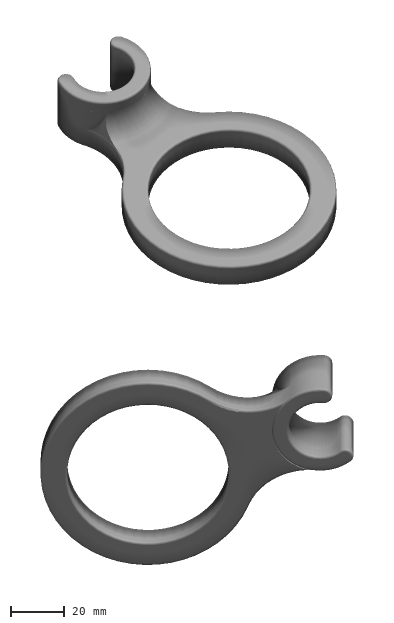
import cadquery as cq
import math

LENGTH = 115.3
RING_RADIUS = 39.9
RING_HOLE_RADIUS = 60.0 / 2
PLATE_HEIGHT = 10.0

CLIP_HEIGHT = 25.0
CLIP_RADIUS = 17.9
CLIP_BORE_RADIUS = 11.6
CLIP_REACH = 8.6

NECK_RADIUS = 24.2
GUSSET_RADIUS = 10.0
GUSSET_SIDE_SETBACK = 4.0
EDGE_RADIUS = 0.9

RING_X = LENGTH - CLIP_REACH - RING_RADIUS
TIP_RADIUS = (CLIP_RADIUS - CLIP_BORE_RADIUS) / 2
ARM_RADIUS = (CLIP_RADIUS + CLIP_BORE_RADIUS) / 2
TIP_ANGLE = math.acos((TIP_RADIUS - CLIP_REACH) / ARM_RADIUS)
GUSSET_TOP = PLATE_HEIGHT + GUSSET_RADIUS

CLIP_TO_NECK = CLIP_RADIUS + NECK_RADIUS
RING_TO_NECK = RING_RADIUS + NECK_RADIUS
NECK_X = (RING_X**2 + CLIP_TO_NECK**2 - RING_TO_NECK**2) / (2 * RING_X)
NECK_Y = math.sqrt(CLIP_TO_NECK**2 - NECK_X**2)
NECK_ANGLE = math.atan2(NECK_Y, NECK_X)


def point_on_circle(radius, angle):
    return radius * math.cos(angle), radius * math.sin(angle)


def mirrored(point):
    return point[0], -point[1]


def make_c_shape():
    """Complete C shape, before it is shared between the two bodies."""
    outer_end = point_on_circle(CLIP_RADIUS, TIP_ANGLE)
    inner_end = point_on_circle(CLIP_BORE_RADIUS, TIP_ANGLE)
    tip_x, tip_y = point_on_circle(ARM_RADIUS, TIP_ANGLE)
    tip_end = (
        tip_x - TIP_RADIUS * math.sin(TIP_ANGLE),
        tip_y + TIP_RADIUS * math.cos(TIP_ANGLE),
    )
    return (
        cq.Workplane("XY")
        .moveTo(*mirrored(outer_end))
        .threePointArc((CLIP_RADIUS, 0), outer_end)
        .threePointArc(tip_end, inner_end)
        .threePointArc((CLIP_BORE_RADIUS, 0), mirrored(inner_end))
        .threePointArc(mirrored(tip_end), mirrored(outer_end))
        .close()
        .extrude(CLIP_HEIGHT)
        .faces("<Z or >Z")
        .edges()
        .fillet(EDGE_RADIUS)
    )


def make_outline():
    """Closed outline of the ring and its neck, reaching in to the clip axis."""
    clip_end = point_on_circle(CLIP_RADIUS, NECK_ANGLE)
    ring_scale = RING_RADIUS / RING_TO_NECK
    ring_end = (RING_X + (NECK_X - RING_X) * ring_scale, NECK_Y * ring_scale)
    start_angle = math.atan2(clip_end[1] - NECK_Y, clip_end[0] - NECK_X)
    end_angle = math.atan2(ring_end[1] - NECK_Y, ring_end[0] - NECK_X)
    offset = point_on_circle(NECK_RADIUS, (start_angle + end_angle) / 2)
    neck_middle = (NECK_X + offset[0], NECK_Y + offset[1])
    return (
        cq.Workplane("XY")
        .lineTo(*clip_end)
        .threePointArc(neck_middle, ring_end)
        .threePointArc((RING_X + RING_RADIUS, 0), mirrored(ring_end))
        .threePointArc(mirrored(neck_middle), mirrored(clip_end))
        .close()
    )


def make_gusset():
    """Concave fillet around the clip, with its sides leaning in above the neck."""
    base = PLATE_HEIGHT - EDGE_RADIUS
    top = GUSSET_TOP
    outer = CLIP_RADIUS + GUSSET_RADIUS
    arc_x, arc_z = point_on_circle(GUSSET_RADIUS, math.radians(225))
    gusset = (
        cq.Workplane("XZ")
        .moveTo(0, base)
        .lineTo(outer, base)
        .lineTo(outer, PLATE_HEIGHT)
        .threePointArc((outer + arc_x, top + arc_z), (CLIP_RADIUS, top))
        .lineTo(0, top)
        .close()
        .revolve(360, (0, 0, 0), (0, 1, 0))
        .intersect(make_outline().extrude(CLIP_HEIGHT))
    )
    for side in (-1, 1):
        side_cone = cq.Solid.makeCone(
            NECK_RADIUS,
            NECK_RADIUS + GUSSET_SIDE_SETBACK,
            top - base,
            pnt=cq.Vector(NECK_X, side * NECK_Y, base),
        )
        gusset = gusset.cut(cq.Workplane(side_cone))
    return gusset


def make_saddle(c_shape):
    """Lower back wall of the C shape, which belongs to the ring body."""
    inner_end = point_on_circle(CLIP_BORE_RADIUS, TIP_ANGLE)
    outer_end = point_on_circle(CLIP_RADIUS, NECK_ANGLE)
    beyond_wall = (CLIP_RADIUS, outer_end[1])
    saddle_space = (
        cq.Workplane("XY")
        .polyline([
            inner_end,
            outer_end,
            beyond_wall,
            mirrored(beyond_wall),
            mirrored(outer_end),
            mirrored(inner_end),
        ])
        .close()
        .extrude(GUSSET_TOP)
    )
    return c_shape.intersect(saddle_space)


def make_plate():
    hole = cq.Workplane("XY").center(RING_X, 0).circle(RING_HOLE_RADIUS).extrude(PLATE_HEIGHT)
    return (
        make_outline()
        .extrude(PLATE_HEIGHT)
        .cut(hole)
        .faces("<Z or >Z")
        .edges("%CIRCLE")
        .fillet(EDGE_RADIUS)
    )


def make_ring(saddle):
    clip_space = cq.Workplane("XY").circle(CLIP_RADIUS).extrude(CLIP_HEIGHT)
    return make_plate().union(make_gusset()).cut(clip_space).union(saddle)


c_shape = make_c_shape()
saddle = make_saddle(c_shape)
clip = c_shape.cut(saddle)
ring = make_ring(saddle)

result = cq.Compound.makeCompound([*clip.solids().vals(), *ring.solids().vals()])